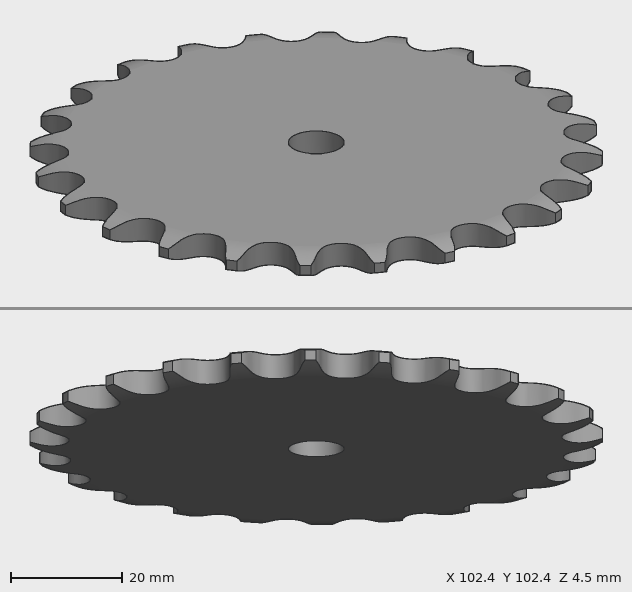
import cadquery as cq
import math

tooth_count = 24
outer_size = 102.4
thickness = 4.5
bore_diameter = 10.0

root_radius = 44.7
seat_radius = 3.9
seat_half_angle = 55 - 60 / tooth_count
working_radius = 10.1
working_angle = 18 - 56 / tooth_count
flank_length = 1.0
gap_half_width_at_tip = 5.7

face_radius = 45.9
crown_radius = 13.0

tip_radius = math.hypot(outer_size / 2, gap_half_width_at_tip)
cutter_reach = tip_radius + 2.0


def polar(center, radius, degrees):
    """Point at a radius and an angle from +X around a centre."""
    angle = math.radians(degrees)
    return (center[0] + radius * math.cos(angle), center[1] + radius * math.sin(angle))


def make_blank():
    """Turned disc whose rim narrows along arcs tangent to both side faces."""
    half = thickness / 2
    crown_angle = math.degrees(math.asin((tip_radius - face_radius) / crown_radius))
    crown_center = (face_radius, half - crown_radius)
    crown_mid = polar(crown_center, crown_radius, 90 - crown_angle / 2)
    crown_end = polar(crown_center, crown_radius, 90 - crown_angle)
    upper_half = (
        cq.Workplane("XZ")
        .lineTo(0, half)
        .lineTo(face_radius, half)
        .threePointArc(crown_mid, crown_end)
        .lineTo(tip_radius, 0)
        .close()
        .revolve(360, (0, 0, 0), (0, 1, 0))
    )
    return upper_half.union(upper_half.mirror("XY"))


def make_gap_cutter():
    """Tooth gap on the +Y axis, cutting through the full thickness."""
    seat_center = (0, root_radius + seat_radius)
    seat_start_direction = -90
    seat_end_direction = seat_start_direction + seat_half_angle
    seat_mid = polar(seat_center, seat_radius, seat_start_direction + seat_half_angle / 2)
    seat_end = polar(seat_center, seat_radius, seat_end_direction)

    working_center = polar(seat_end, working_radius, seat_end_direction + 180)
    working_end_direction = seat_end_direction + working_angle
    working_mid = polar(working_center, working_radius, seat_end_direction + working_angle / 2)
    working_end = polar(working_center, working_radius, working_end_direction)

    flank_end = polar(working_end, flank_length, working_end_direction + 90)
    tip_corner = (gap_half_width_at_tip, outer_size / 2)
    return (
        cq.Workplane("XY")
        .moveTo(0, root_radius)
        .threePointArc(seat_mid, seat_end)
        .threePointArc(working_mid, working_end)
        .lineTo(*flank_end)
        .tangentArcPoint(tip_corner, relative=False)
        .lineTo(gap_half_width_at_tip, cutter_reach)
        .lineTo(0, cutter_reach)
        .mirrorY()
        .extrude(thickness, both=True)
    )


sprocket = make_blank()
gap_cutter = make_gap_cutter()
for index in range(tooth_count):
    sprocket = sprocket.cut(gap_cutter.rotate((0, 0, 0), (0, 0, 1), index * 360 / tooth_count))

result = sprocket.faces(">Z").workplane(origin=(0, 0, 0)).hole(bore_diameter)